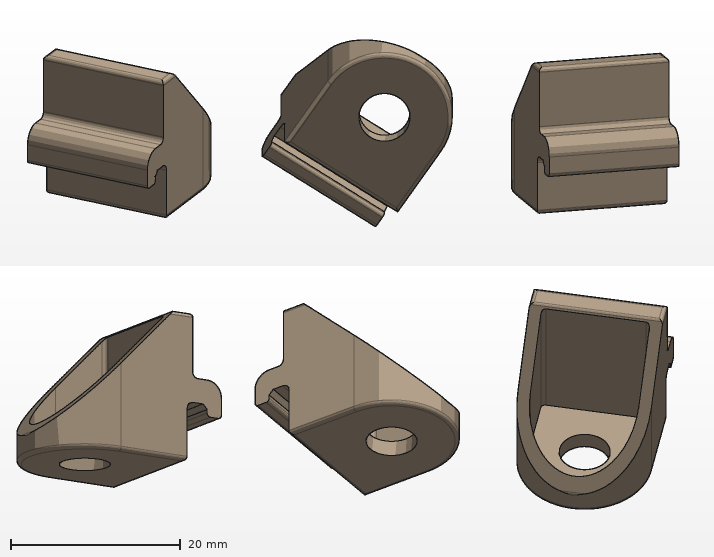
import cadquery as cq

length = 22.0
width = 16.0
height = 18.0
edge_round = 0.5
end_radius = width / 2
end_centre_y = length - end_radius

upper_front_y = 4.0
lower_front_y = 4.8
back_edge_height = 2.65
slope_top_y = length - (height - back_edge_height)

hook_top = 10.16
hook_thickness = 3.0
hook_bottom = 5.7
lip_thickness = 2.0
hook_outer_radius = 2.0
hook_root_radius = 0.7
underside_root_radius = 0.88
lip_inner_chamfer = 0.6
lip_round = 0.45
hook_underside = hook_top - hook_thickness

wall = 1.5
floor_thickness = 2.0
pocket_front_y = 7.0
pocket_corner_radius = 0.5
hole_diameter = 6.0


def extrude_side_profile(points):
    """Extrude (y, z) points across the full width, centred on X = 0."""
    return cq.Workplane("YZ").polyline(points).close().extrude(width / 2, both=True)


def round_edge(body, y, z, radius):
    """Round the edge running along X at the given (y, z)."""
    return body.edges(cq.selectors.NearestToPointSelector((0, y, z))).fillet(radius)


def rounded_end_prism(radius, front_y, bottom, top):
    """Vertical prism with a straight front and a semicircular rear end."""
    return (
        cq.Workplane("XY", origin=(0, 0, bottom))
        .moveTo(-radius, front_y)
        .lineTo(radius, front_y)
        .lineTo(radius, end_centre_y)
        .threePointArc((0, end_centre_y + radius), (-radius, end_centre_y))
        .close()
        .extrude(top - bottom)
    )


def make_block():
    profile = [
        (lower_front_y, 0),
        (length, 0),
        (length, back_edge_height),
        (slope_top_y, height),
        (upper_front_y, height),
        (upper_front_y, hook_underside),
        (lower_front_y, hook_underside),
    ]
    block = extrude_side_profile(profile)
    block = round_edge(block, length, back_edge_height, edge_round)
    block = block.intersect(rounded_end_prism(end_radius, 0, 0, height))
    block = block.faces("<Z").edges().fillet(edge_round)
    return block.faces(">Z").edges().fillet(edge_round)


def make_hook():
    profile = [
        (0, hook_bottom),
        (lip_thickness, hook_bottom),
        (lip_thickness, hook_underside - lip_inner_chamfer),
        (lip_thickness + lip_inner_chamfer, hook_underside),
        (lower_front_y, hook_underside),
        (lower_front_y, hook_top),
        (0, hook_top),
    ]
    hook = extrude_side_profile(profile)
    hook = round_edge(hook, 0, hook_top, hook_outer_radius)
    for lip_y in (0, lip_thickness):
        hook = round_edge(hook, lip_y, hook_bottom, lip_round)
    return hook


def make_pocket():
    pocket = rounded_end_prism(end_radius - wall, pocket_front_y, floor_thickness, height)
    return pocket.edges("|Z and <Y").fillet(pocket_corner_radius)


result = make_block().union(make_hook())
result = round_edge(result, upper_front_y, hook_top, hook_root_radius)
result = round_edge(result, lower_front_y, hook_underside, underside_root_radius)
result = result.cut(make_pocket())
hole = cq.Workplane("XY").center(0, end_centre_y).circle(hole_diameter / 2).extrude(height)
result = result.cut(hole)